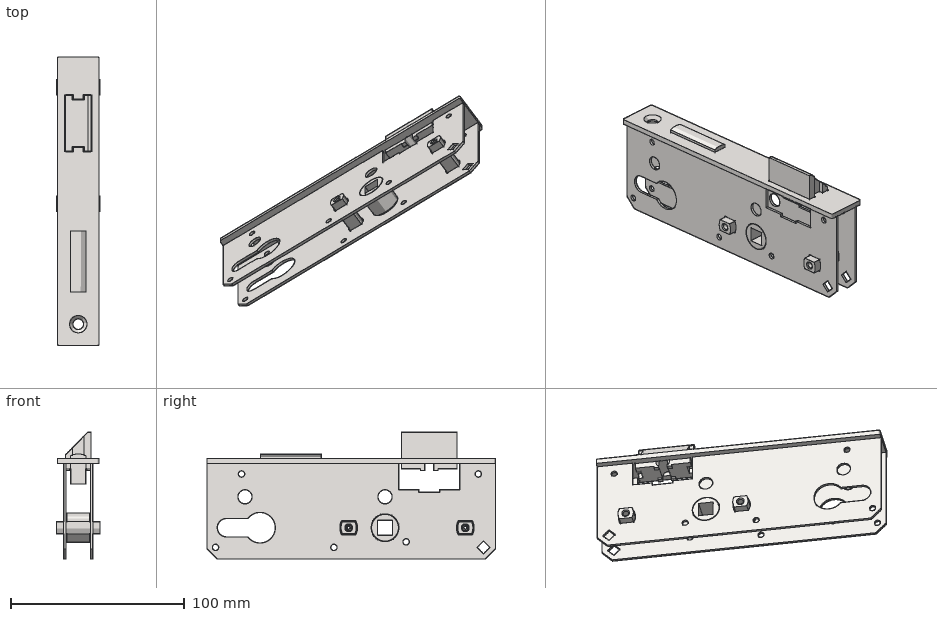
import cadquery as cq
import math


case_length = 166.0
case_width = 17.0
case_bottom = -58.0
cheek_thickness = 1.5
cheek_corner = 6.0

forend_width = 24.0
forend_thickness = 3.0
forend_corner_radius = 1.0
latch_clearance = 0.3
screw_y = -70.7
screw_diameter = 6.0
screw_head_diameter = 10.0
screw_head_angle = 90

latch_y = 44.8
latch_length = 32.0
latch_width = 15.0
latch_projection = 15.1
latch_tip = 2.0
latch_bottom = -6.0
latch_notch_width = 6.6
latch_notch_depth = 2.5
latch_foot_bottom = -7.0
latch_foot_length = 10.3
latch_foot_inner_x = 5.0
latch_bore_z = -3.2
latch_bore = 5.0
latch_countersink = 8.0

bolt_y = -34.7
bolt_length = 35.0
bolt_width = 8.6
bolt_projection = 2.5
bolt_bottom = -14.8
bolt_crown_width = 1.5
bolt_crown_drop = 1.0

follower_y = 19.5
follower_z = -39.8
follower_body = 17.0
follower_body_length = 13.0
follower_journal = 15.5
follower_hole = 16.0
follower_square = 8.5
key_spacing = 71.9
key_y = follower_y - key_spacing
key_diameter = 17.5
key_slot_width = 10.5
key_slot_reach = 19.3

pillar_positions = (65.5, -1.5)
pillar_length = 25.0
pillar_width = 9.0
pillar_height = 7.0
pillar_clearance = 0.5
pillar_side_radius = 8.3
pillar_bore = 1.7
pillar_thread = 3.3
pillar_thread_depth = 5.0
pillar_mouth = 4.5

window_length = 35.0
window_bottom = -18.0
window_recess_length = 12.0
window_recess_bottom = -19.5
small_hole = 3.5
small_hole_points = ((73.0, -9.0), (-63.0, -9.0), (31.5, -48.0), (-10.0, -51.1), (-78.0, -51.1))
rose_hole = 8.0
rose_hole_points = ((follower_y, -22.0), (-61.1, -22.0))
diamond_point = (76.0, -51.1)
diamond_side = 5.1


def box(x_range, y_range, z_range):
    """Box from its limits along each axis."""
    return (
        cq.Workplane("XY")
        .box(
            x_range[1] - x_range[0],
            y_range[1] - y_range[0],
            z_range[1] - z_range[0],
            centered=False,
        )
        .translate((x_range[0], y_range[0], z_range[0]))
    )


def centred(middle, length):
    """Limits of a length centred on a place."""
    return (middle - length / 2, middle + length / 2)


def across(x):
    """Sketch plane facing +X, with local axes Y and Z."""
    return cq.Workplane("YZ", origin=(x, 0, 0))


def cone(x, y, z, mouth_diameter, end_diameter, inward):
    """45 degree cone along X; inward is +1 or -1."""
    depth = (mouth_diameter - end_diameter) / 2
    return cq.Workplane(
        cq.Solid.makeCone(
            mouth_diameter / 2,
            end_diameter / 2,
            depth,
            pnt=cq.Vector(x, y, z),
            dir=cq.Vector(inward, 0, 0),
        )
    )


def pillar_profile(x, y, growth):
    """Flat top and bottom with bowed sides, enlarged by growth on every side."""
    half_height = pillar_height / 2 + growth
    half_width = pillar_width / 2 + growth
    bow = pillar_side_radius - math.sqrt(pillar_side_radius**2 - half_height**2)
    half_flat = half_width - bow
    return (
        across(x)
        .center(y, follower_z)
        .moveTo(-half_flat, half_height)
        .lineTo(half_flat, half_height)
        .threePointArc((half_width, 0), (half_flat, -half_height))
        .lineTo(-half_flat, -half_height)
        .threePointArc((-half_width, 0), (-half_flat, half_height))
        .close()
    )


def latch_plan(growth):
    """Latch section across Z: a rectangle notched at both ends, enlarged by growth."""
    half_width = latch_width / 2 + growth
    block = box(
        (-half_width, half_width),
        centred(latch_y, latch_length + 2 * growth),
        (latch_bottom, latch_projection),
    )
    half_notch = latch_notch_width / 2 - growth
    for end in (-1, 1):
        notch_floor = latch_y + end * (latch_length / 2 - latch_notch_depth + growth)
        notch = box(
            (-half_notch, half_notch),
            centred(notch_floor + end * latch_notch_depth, 2 * latch_notch_depth),
            (latch_bottom, latch_projection),
        )
        block = block.cut(notch)
    return block


def make_forend():
    plate = box(
        centred(0, forend_width),
        centred(0, case_length),
        (-forend_thickness, 0),
    )
    plate = plate.edges("|Z").fillet(forend_corner_radius)
    plate = plate.cut(latch_plan(latch_clearance))
    plate = plate.cut(
        box(centred(0, bolt_width), centred(bolt_y, bolt_length), (-forend_thickness, 0))
    )
    return (
        plate.faces(">Z")
        .workplane(origin=(0, screw_y, 0))
        .cskHole(screw_diameter, screw_head_diameter, screw_head_angle)
    )


def make_cheek(x):
    """Side plate that starts at x and thickens towards +X."""
    plate = box(
        (x, x + cheek_thickness),
        centred(0, case_length),
        (case_bottom, -forend_thickness),
    )
    plate = plate.edges("|X and <Z").chamfer(cheek_corner)

    def cut_circles(points, diameter):
        return across(x).pushPoints(points).circle(diameter / 2).extrude(cheek_thickness)

    plate = plate.cut(cut_circles(small_hole_points, small_hole))
    plate = plate.cut(cut_circles(rose_hole_points, rose_hole))
    plate = plate.cut(cut_circles([(follower_y, follower_z)], follower_hole))

    plate = plate.cut(cut_circles([(key_y, follower_z)], key_diameter))
    slot_end = key_y - key_slot_reach
    plate = plate.cut(cut_circles([(slot_end, follower_z)], key_slot_width))
    plate = plate.cut(
        box(
            (x, x + cheek_thickness),
            (slot_end, key_y),
            centred(follower_z, key_slot_width),
        )
    )

    for length, bottom in (
        (window_length, window_bottom),
        (window_recess_length, window_recess_bottom),
    ):
        plate = plate.cut(
            box(
                (x, x + cheek_thickness),
                centred(latch_y, length),
                (bottom, -forend_thickness),
            )
        )

    diamond = (
        across(x)
        .center(*diamond_point)
        .transformed(rotate=(0, 0, 45))
        .rect(diamond_side, diamond_side)
        .extrude(cheek_thickness)
    )
    plate = plate.cut(diamond)

    for y in pillar_positions:
        plate = plate.cut(pillar_profile(x, y, pillar_clearance).extrude(cheek_thickness))
    return plate


def make_latch():
    half_width = latch_width / 2
    latch = latch_plan(0)

    for x_range in ((-half_width, -latch_foot_inner_x), (latch_foot_inner_x, half_width)):
        latch = latch.union(
            box(x_range, centred(latch_y, latch_foot_length), (latch_foot_bottom, latch_bottom))
        )

    bevel = (
        cq.Workplane("XZ", origin=(0, latch_y, 0))
        .moveTo(-half_width, latch_tip)
        .lineTo(half_width - latch_tip, latch_projection)
        .lineTo(-half_width, latch_projection)
        .close()
        .extrude(latch_length / 2, both=True)
    )
    latch = latch.cut(bevel)

    bore = (
        across(-half_width)
        .center(latch_y, latch_bore_z)
        .circle(latch_bore / 2)
        .extrude(latch_width)
    )
    slot = box(
        (-half_width, half_width),
        centred(latch_y, latch_bore),
        (latch_foot_bottom, latch_bore_z),
    )
    countersink = cone(-half_width, latch_y, latch_bore_z, latch_countersink, latch_bore, 1)
    return latch.cut(bore).cut(slot).cut(countersink)


def make_deadbolt():
    half_width = bolt_width / 2
    half_crown = bolt_crown_width / 2
    shoulder = bolt_projection - bolt_crown_drop
    crown_run = half_width - half_crown
    crown_radius = (crown_run**2 + bolt_crown_drop**2) / (2 * bolt_crown_drop)
    return (
        cq.Workplane("XZ", origin=(0, bolt_y, 0))
        .moveTo(-half_width, bolt_bottom)
        .lineTo(half_width, bolt_bottom)
        .lineTo(half_width, shoulder)
        .radiusArc((half_crown, bolt_projection), -crown_radius)
        .lineTo(-half_crown, bolt_projection)
        .radiusArc((-half_width, shoulder), -crown_radius)
        .close()
        .extrude(bolt_length / 2, both=True)
    )


def make_follower():
    half_width = case_width / 2
    body = (
        across(-follower_body_length / 2)
        .center(follower_y, follower_z)
        .circle(follower_body / 2)
        .extrude(follower_body_length)
    )
    end = across(-half_width).center(follower_y, follower_z)
    journal = end.circle(follower_journal / 2).extrude(case_width)
    square = end.rect(follower_square, follower_square).extrude(case_width)
    return body.union(journal).cut(square)


def make_pillar(y):
    half_length = pillar_length / 2
    pillar = pillar_profile(-half_length, y, 0).extrude(pillar_length)
    bore = across(-half_length).center(y, follower_z).circle(pillar_bore / 2).extrude(pillar_length)
    pillar = pillar.cut(bore)
    for side in (-1, 1):
        end = side * half_length
        thread_end = end - side * pillar_thread_depth
        thread = across(end).center(y, follower_z).circle(pillar_thread / 2)
        pillar = pillar.cut(thread.extrude(-side * pillar_thread_depth))
        pillar = pillar.cut(cone(end, y, follower_z, pillar_mouth, pillar_thread, -side))
        pillar = pillar.cut(cone(thread_end, y, follower_z, pillar_thread, pillar_bore, -side))
    return pillar


forend = make_forend()
cheeks = [make_cheek(x) for x in (-case_width / 2, case_width / 2 - cheek_thickness)]
latch = make_latch()
deadbolt = make_deadbolt()
follower = make_follower()
pillars = [make_pillar(y) for y in pillar_positions]

result = cq.Compound.makeCompound(
    [
        forend.val(),
        *[cheek.val() for cheek in cheeks],
        latch.val(),
        deadbolt.val(),
        follower.val(),
        *[pillar.val() for pillar in pillars],
    ]
)